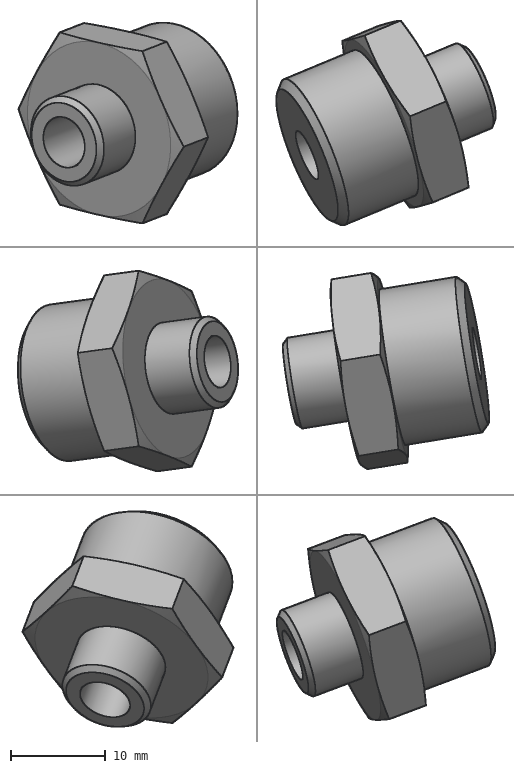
import cadquery as cq
import math

hex_across_corners = 21.95
hex_across_flats = hex_across_corners * math.cos(math.radians(30))
hex_length = 5.0
hex_chamfer_angle = 15.0

small_diameter = 9.72
small_length = 6.01
small_chamfer = 0.57

large_diameter = 16.65
large_length = 9.0
large_chamfer = 0.83

bore_diameter = 5.5

small_end = -small_length
total_length = small_length + hex_length + large_length


def cylinder_along_y(diameter, start, length):
    """Cylinder on the Y axis, running from start towards +Y."""
    plane = cq.Workplane("XZ", origin=(0, start, 0))
    return plane.circle(diameter / 2).extrude(-length)


def chamfered_hexagon():
    """Hexagon with corners on X, its corners turned conically at both ends."""
    hexagon = cq.Workplane("XZ").polygon(6, hex_across_corners).extrude(-hex_length)
    flat_radius = hex_across_flats / 2
    corner_radius = hex_across_corners / 2
    corner_drop = (corner_radius - flat_radius) * math.tan(math.radians(hex_chamfer_angle))
    turning_profile = [
        (0, 0),
        (flat_radius, 0),
        (corner_radius, corner_drop),
        (corner_radius, hex_length - corner_drop),
        (flat_radius, hex_length),
        (0, hex_length),
    ]
    turned_blank = (
        cq.Workplane("XY").polyline(turning_profile).close().revolve(360, (0, 0), (0, 1))
    )
    return hexagon.intersect(turned_blank)


small_spigot = cylinder_along_y(small_diameter, small_end, small_length)
small_spigot = small_spigot.faces("<Y").chamfer(small_chamfer)
large_spigot = cylinder_along_y(large_diameter, hex_length, large_length)
large_spigot = large_spigot.faces(">Y").chamfer(large_chamfer)

bore = cylinder_along_y(bore_diameter, small_end, total_length)

result = chamfered_hexagon().union(small_spigot).union(large_spigot).cut(bore)